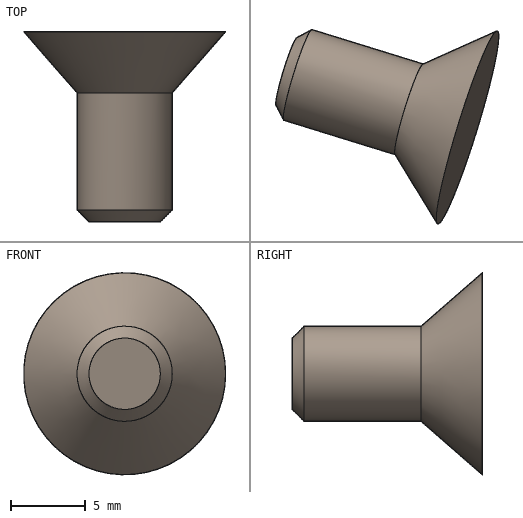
import cadquery as cq

head_diameter = 13.49
shank_diameter = 6.35
total_length = 12.7
head_height = 4.09
tip_chamfer = 0.8

head_radius = head_diameter / 2
shank_radius = shank_diameter / 2
tip_radius = shank_radius - tip_chamfer

half_profile = [
    (0, 0),
    (head_radius, 0),
    (shank_radius, -head_height),
    (shank_radius, tip_chamfer - total_length),
    (tip_radius, -total_length),
    (0, -total_length),
]

result = (
    cq.Workplane("XY")
    .polyline(half_profile)
    .close()
    .revolve(360, (0, 0, 0), (0, 1, 0))
)